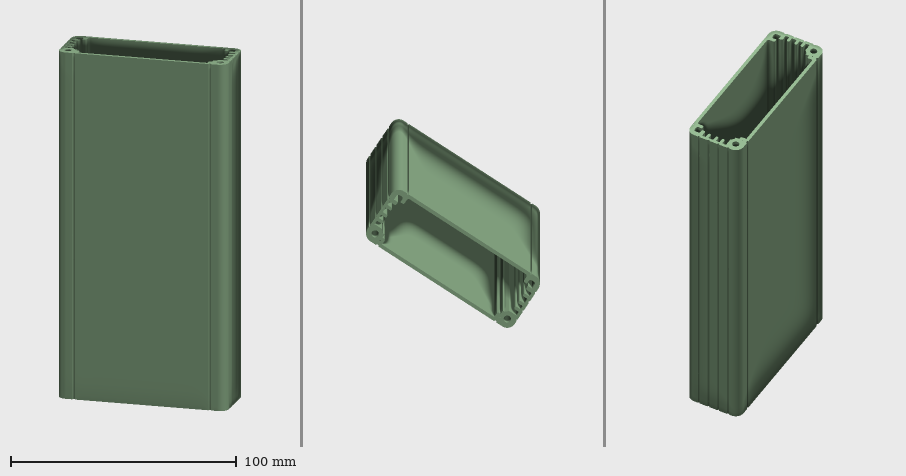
import cadquery as cq

length = 160.0
width = 78.0
depth = 27.0
corner_radius = 4.0
side_wall = 1.5
face_wall = 1.6

half_width = width / 2
half_depth = depth / 2
inner_side = half_width - side_wall
inner_back = half_depth - face_wall
screw_x = half_width - corner_radius
screw_y = half_depth - corner_radius

screw_radius = 1.6
channel_half = 1.52
back_port_width = 7.4
back_port_depth = 7.4
side_finger_gap = 0.6
back_finger_tip = 1.0
channel_fillet = 1.0
finger_fillet = 0.8
root_fillet = 1.0

front_port_width = 7.7
shoulder_depth = 7.5
shoulder_width = 5.3
shoulder_run = 1.5
shoulder_drop = 1.5

lip_inner = 4.3
lip_thickness = 1.5
lip_reach = 5.6
upright_thickness = 1.6
upright_chamfer = 0.5
seam_radius = 0.6
foot_chamfer = 0.6

joint_x = half_width - front_port_width
lip_tip_x = half_width - lip_reach
lip_y = lip_inner - half_depth
foot_y = lip_y - lip_thickness

rib_reach = 2.7
rib_thickness = 1.5
rib_positions = [3.7, -0.2, -3.4]

groove_radius = 0.5
side_groove_pitch = 5.0
side_groove_count = 4
side_groove_middle = -0.3
back_groove_inset = 6.4


def bar(x_low, x_high, y_low, y_high):
    """Rectangular bar over the full length of the extrusion."""
    return (
        cq.Workplane("XY")
        .box(x_high - x_low, y_high - y_low, length, centered=False)
        .translate((x_low, y_low, 0))
    )


def prism(points):
    """Straight-sided outline extruded over the full length."""
    return cq.Workplane("XY").polyline(points).close().extrude(length)


def both_sides(shape):
    """The shape together with its mirror image across the YZ plane."""
    return shape.union(shape.mirror("YZ"), clean=True)


def outer_block():
    """Solid round-cornered block that the housing is cut from."""
    return (
        cq.Workplane("XY")
        .rect(width, depth)
        .extrude(length)
        .edges("|Z")
        .fillet(corner_radius)
    )


def back_port():
    """Two round-cornered fingers around the right-hand back screw channel."""
    port_x = half_width - back_port_width
    port_y = half_depth - back_port_depth
    block = bar(port_x, inner_side, port_y, inner_back)
    mouth = bar(port_x, screw_x - side_finger_gap, port_y, screw_y - back_finger_tip)
    fingers = block.cut(mouth)
    fingers = fingers.edges("|Z and <X").edges("<Y").fillet(finger_fillet)
    fingers = fingers.edges("|Z and <Y").edges("<X").fillet(finger_fillet)
    root = bar(port_x - root_fillet, port_x, inner_back - root_fillet, inner_back)
    root_hollow = (
        cq.Workplane("XY")
        .center(port_x - root_fillet, inner_back - root_fillet)
        .circle(root_fillet)
        .extrude(length)
    )
    return fingers.union(root.cut(root_hollow))


def back_channel():
    """Right-hand back screw channel with rounded rear corners."""
    channel = bar(
        screw_x - channel_half, screw_x + channel_half, screw_y - channel_half, screw_y + channel_half
    )
    return channel.edges("|Z and >Y").fillet(channel_fillet)


def front_port():
    """Right-hand front corner with its sloping shoulder."""
    shoulder_y = shoulder_depth - half_depth
    shoulder_x = half_width - shoulder_width
    return prism([
        (inner_side, shoulder_y),
        (shoulder_x, shoulder_y),
        (shoulder_x - shoulder_run, shoulder_y - shoulder_drop),
        (joint_x, shoulder_y - shoulder_drop),
        (joint_x, face_wall - half_depth),
        (inner_side, face_wall - half_depth),
    ])


def front_channel():
    """Round screw hole and the slot that receives the lip of the panel."""
    hole = cq.Workplane("XY").center(screw_x, -screw_y).circle(screw_radius).extrude(length)
    slot = bar(joint_x, lip_tip_x, foot_y, lip_y)
    return hole.union(slot)


def ribs():
    """Round-tipped guide ribs on the right-hand side wall."""
    rib_set = cq.Workplane("XY")
    tip_radius = rib_thickness / 2
    tip_x = inner_side - rib_reach + tip_radius
    for y in rib_positions:
        rib = bar(tip_x, inner_side, y - tip_radius, y + tip_radius)
        tip = cq.Workplane("XY").center(tip_x, y).circle(tip_radius).extrude(length)
        rib_set = rib_set.union(rib).union(tip)
    return rib_set


def grooves():
    """Round grooves in the right-hand side face and the right half of the back face."""
    side_centres = [
        (half_width, side_groove_middle + (index - (side_groove_count - 1) / 2) * side_groove_pitch)
        for index in range(side_groove_count)
    ]
    back_centre = (half_width - back_groove_inset, half_depth)
    return cq.Workplane("XY").pushPoints(side_centres + [back_centre]).circle(groove_radius).extrude(length)


def seam_groove():
    """Round groove in the front face along the right-hand joint of housing and panel."""
    return cq.Workplane("XY").center(joint_x, -half_depth).circle(seam_radius).extrude(length)


def foot_bevel():
    """Bevel on the inner edge of the right-hand housing foot beside the panel."""
    return prism([
        (joint_x, foot_y),
        (joint_x + foot_chamfer, foot_y),
        (joint_x, foot_y - foot_chamfer),
    ])


def make_housing():
    """Channel-shaped housing with screw ports, guide ribs and an open front."""
    body = outer_block()
    body = body.cut(bar(-inner_side, inner_side, face_wall - half_depth, inner_back))
    body = body.cut(bar(-joint_x, joint_x, -half_depth, face_wall - half_depth))
    body = body.union(both_sides(back_port().union(front_port()).union(ribs())))
    for cutter in (back_channel(), front_channel(), grooves(), seam_groove(), foot_bevel()):
        body = body.cut(both_sides(cutter))
    return body


def make_panel():
    """Front panel with a lip along each long edge."""
    upright_x = joint_x - upright_thickness
    right_half = prism([
        (0, -half_depth),
        (joint_x, -half_depth),
        (joint_x, foot_y),
        (lip_tip_x, foot_y),
        (lip_tip_x, lip_y),
        (upright_x + upright_chamfer, lip_y),
        (upright_x, lip_y - upright_chamfer),
        (upright_x, face_wall - half_depth),
        (0, face_wall - half_depth),
    ])
    return both_sides(right_half.cut(seam_groove()))


housing = make_housing()
panel = make_panel()

result = cq.Compound.makeCompound([housing.solids().val(), panel.solids().val()])